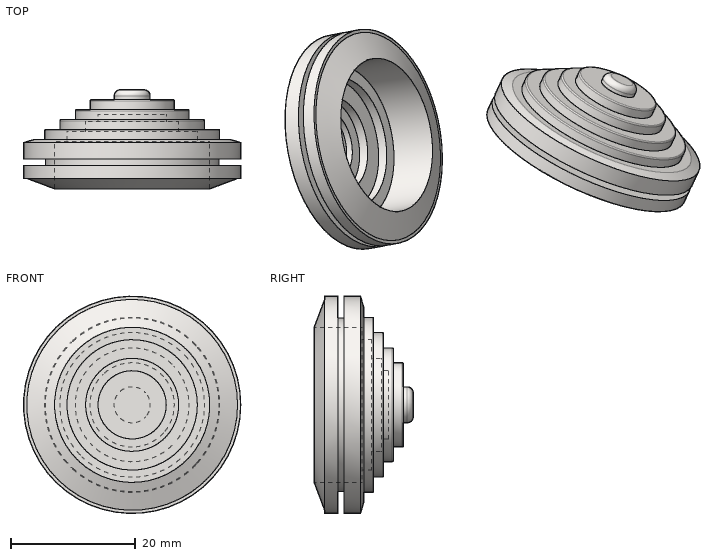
import cadquery as cq

flange_radius = 17.5
total_depth = 16.0
step_height = total_depth / 10
flange_depth = 5 * step_height

front_cone_depth = 1.68
front_cone_radius = 16.98
groove_start = 3.8
groove_end = 4.8
groove_radius = 14.0
back_cone_start = 7.5
back_cone_radius = 15.75

step_radii = [14.1, 11.65, 9.17, 6.8]
step_edge_fillet = 0.2
knob_radius = 2.9
knob_fillet = 1.0

cavity_radii = [12.5, 10.5, 7.5, 5.5]
floor_thickness = 0.3
end_floor_depth = 12.0


def disc(radius, start, end):
    """Cylinder along Y between two depths."""
    return cq.Workplane("XZ", origin=(0, start, 0)).circle(radius).extrude(start - end)


def make_flanges():
    profile = [
        (0, 0),
        (cavity_radii[0], 0),
        (front_cone_radius, front_cone_depth),
        (flange_radius, front_cone_depth),
        (flange_radius, groove_start),
        (groove_radius, groove_start),
        (groove_radius, groove_end),
        (flange_radius, groove_end),
        (flange_radius, back_cone_start),
        (back_cone_radius, flange_depth),
        (0, flange_depth),
    ]
    return cq.Workplane("XY").polyline(profile).close().revolve(360, (0, 0, 0), (0, 1, 0))


def make_step(index, radius, edge_fillet):
    start = flange_depth + index * step_height
    return disc(radius, start, start + step_height).faces(">Y").edges().fillet(edge_fillet)


result = make_flanges()
for index, radius in enumerate(step_radii):
    result = result.union(make_step(index, radius, step_edge_fillet))
result = result.union(make_step(len(step_radii), knob_radius, knob_fillet))

for index, radius in enumerate(cavity_radii):
    floor = flange_depth + index * step_height - floor_thickness
    result = result.cut(disc(radius, 0, min(floor, end_floor_depth)))